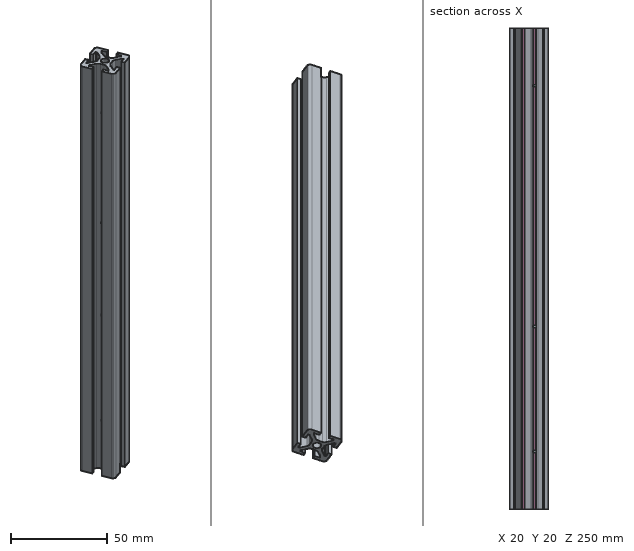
import cadquery as cq
import math

width = 20.0
length = 250.0
corner_radius = 1.8

slot_opening = 5.5
slot_inner_width = 11.2
lip_thickness = 2.0
strut_thickness = 2.2
core_width = 7.5
core_fillet = 2.8

bore_diameter = 4.2
pin_hole_diameter = 1.0
pin_hole_heights = (30.0, 95.0, 220.0)

half_width = width / 2
half_core = core_width / 2
half_opening = slot_opening / 2
half_inner = slot_inner_width / 2
lip_inside = half_width - lip_thickness
strut_offset = strut_thickness / math.sqrt(2)


def make_slot():
    """Prism of the +Y slot, with its floor blended into the diagonal struts."""
    floor_corner = half_core - strut_offset
    right_side = [
        (floor_corner, half_core),
        (half_inner, half_inner + strut_offset),
        (half_inner, lip_inside),
        (half_opening, lip_inside),
        (half_opening, half_width),
    ]
    left_side = [(-x, y) for x, y in reversed(right_side)]
    slot = cq.Workplane("XY").polyline(right_side + left_side).close().extrude(length)
    floor_edges = cq.selectors.BoxSelector(
        (-half_opening - floor_corner, half_core - strut_offset, 0),
        (half_opening + floor_corner, half_core + strut_offset, length),
    )
    return slot.edges("|Z").edges(floor_edges).fillet(core_fillet)


def make_profile():
    """Rounded square bar with four slots and an axial bore."""
    bar = cq.Workplane("XY").rect(width, width).extrude(length)
    bar = bar.edges("|Z").fillet(corner_radius)
    slot = make_slot()
    for side in range(4):
        bar = bar.cut(slot.rotate((0, 0, 0), (0, 0, 1), 90 * side))
    bore = cq.Workplane("XY").circle(bore_diameter / 2).extrude(length)
    return bar.cut(bore)


def make_pin_holes():
    """Holes from the -Y slot into the bore."""
    return (
        cq.Workplane("XZ")
        .pushPoints([(0, height) for height in pin_hole_heights])
        .circle(pin_hole_diameter / 2)
        .extrude(half_width)
    )


result = make_profile().cut(make_pin_holes())